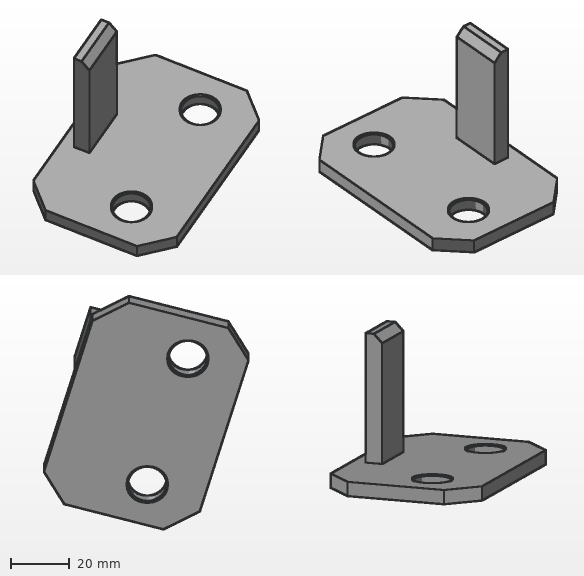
import cadquery as cq

plate_length = 80.0
plate_width = 55.0
corner_cut = 10.0
plate_thickness = corner_cut / 2

overall_height = 50.0
tab_length = 20.0
tab_thickness = 6.0
tab_edge_gap = plate_thickness
tab_bevel = tab_thickness / 2

hole_spacing = 50.0
hole_edge_distance = 20.0
hole_rim_diameter = 14.0
hole_chamfer = 0.5
hole_diameter = hole_rim_diameter - 2 * hole_chamfer


def make_plate():
    """Rectangular plate with its four corners cut at 45 degrees and two chamfered holes."""
    hole_x = plate_width / 2 - hole_edge_distance
    hole_centers = [(hole_x, side * hole_spacing / 2) for side in (-1, 1)]
    blank = (
        cq.Workplane("XY")
        .box(plate_width, plate_length, plate_thickness, centered=(True, True, False))
        .edges("|Z")
        .chamfer(corner_cut)
    )
    drills = cq.Workplane("XY").pushPoints(hole_centers).circle(hole_diameter / 2).extrude(plate_thickness)
    return blank.cut(drills).edges("%CIRCLE").chamfer(hole_chamfer)


def make_tab():
    """Upright tab with its top edge bevelled on the +X side."""
    tab_center_x = -plate_width / 2 + tab_edge_gap + tab_thickness / 2
    return (
        cq.Workplane("XY")
        .center(tab_center_x, 0)
        .box(tab_thickness, tab_length, overall_height, centered=(True, True, False))
        .edges(">X and >Z")
        .chamfer(tab_bevel)
    )


result = make_plate().union(make_tab())